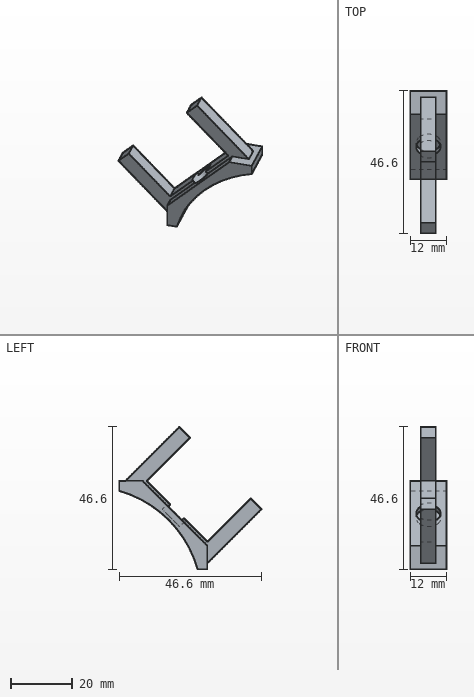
import cadquery as cq
import math

saddle_width = 12.0
bore_radius = 37.0
face_distance = 40.0
face_length = 30.0
end_height = 10.0

clip_width = 5.0
arm_thickness = 5.0
arm_gap = 28.0
arm_length = 20.0
base_thickness = 1.0

pocket_diameter = 8.0
pocket_depth = 2.0

tilt_angle = 45.0


def extrude_across(outline, width):
    """Extrude a YZ outline along X, centred on X = 0."""
    return outline.extrude(width / 2, both=True)


def make_saddle():
    side_distance = (face_distance + face_length / 2) / math.sqrt(2)
    corner_y = (side_distance - end_height) / math.sqrt(2)
    corner_z = (side_distance + end_height) / math.sqrt(2)

    end_run = math.sqrt(bore_radius**2 - end_height**2)
    tip_y = (end_run - end_height) / math.sqrt(2)
    tip_z = (end_run + end_height) / math.sqrt(2)

    outline = (
        cq.Workplane("YZ")
        .moveTo(-face_length / 2, face_distance)
        .lineTo(face_length / 2, face_distance)
        .lineTo(corner_y, corner_z)
        .lineTo(tip_y, tip_z)
        .threePointArc((0, bore_radius), (-tip_y, tip_z))
        .lineTo(-corner_y, corner_z)
        .close()
    )
    return extrude_across(outline, saddle_width)


def make_clip():
    inner_y = arm_gap / 2
    outer_y = inner_y + arm_thickness
    base_z = face_distance + base_thickness
    arm_top_z = base_z + arm_length
    corner_y = face_length / 2
    root_z = face_distance - (outer_y - corner_y)

    outline = cq.Workplane("YZ").polyline([
        (-outer_y, root_z),
        (-outer_y, arm_top_z),
        (-inner_y, arm_top_z),
        (-inner_y, base_z),
        (inner_y, base_z),
        (inner_y, arm_top_z),
        (outer_y, arm_top_z),
        (outer_y, root_z),
        (corner_y, face_distance),
        (-corner_y, face_distance),
    ]).close()
    return extrude_across(outline, clip_width)


def make_pocket():
    return (
        cq.Workplane("XY")
        .workplane(offset=face_distance - pocket_depth)
        .circle(pocket_diameter / 2)
        .extrude(pocket_depth + base_thickness)
    )


body = make_saddle().union(make_clip()).cut(make_pocket())
result = body.rotate((0, 0, 0), (1, 0, 0), tilt_angle)